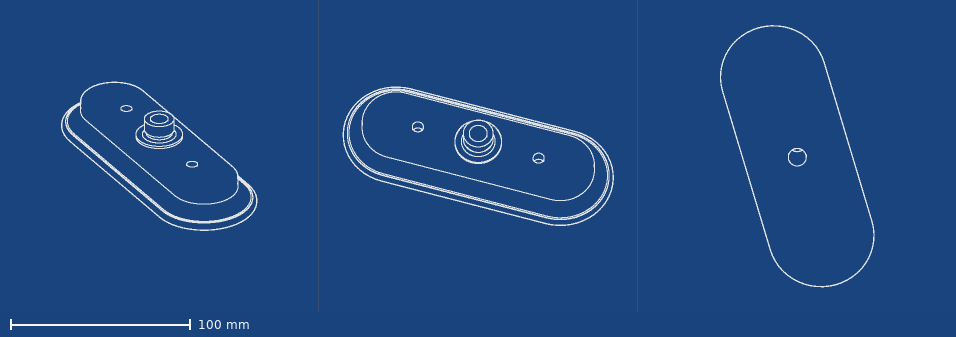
import cadquery as cq

LENGTH = 154.0
WIDTH = 59.0
HEIGHT = 31.0

RIM_THICKNESS = 4.3
SKIRT_BASE_Z = 4.8
STEP_INSET = 2.3
SKIRT_BASE_INSET = 3.2
SKIRT_TOP_Z = 11.5
BODY_TOP_Z = 19.5
BODY_WIDTH = 37.9
BODY_FILLET = 2.0

FLANGE_DIAMETER = 26.0
FLANGE_TOP_Z = 21.0
COLLAR_DIAMETER = 18.8
COLLAR_CROWN_DIAMETER = 17.0
COLLAR_CROWN_Z = 21.5
COLLAR_TOP_Z = 21.7
NECK_DIAMETER = 14.5
NECK_TOP_Z = 24.0
HEAD_DIAMETER = 16.6
BORE_DIAMETER = 10.0

SIDE_HOLE_DIAMETER = 6.2
SIDE_HOLE_DEPTH = 7.7
SIDE_HOLE_SPACING = 69.9

END_CENTRE_X = (LENGTH - WIDTH) / 2
RIM_RADIUS = WIDTH / 2
RIM_ROUND = RIM_THICKNESS / 2
BODY_RADIUS = BODY_WIDTH / 2


def pad_half_section(plane):
    """Section from the pad's centreline out to the rim, with x outward and y up."""
    round_start = RIM_RADIUS - RIM_ROUND
    step_radius = RIM_RADIUS - STEP_INSET
    fillet_start = BODY_RADIUS - BODY_FILLET
    return (
        cq.Workplane(plane)
        .moveTo(0, 0)
        .lineTo(round_start, 0)
        .threePointArc((RIM_RADIUS, RIM_ROUND), (round_start, RIM_THICKNESS))
        .lineTo(step_radius, RIM_THICKNESS)
        .lineTo(step_radius, SKIRT_BASE_Z)
        .lineTo(RIM_RADIUS - SKIRT_BASE_INSET, SKIRT_BASE_Z)
        .lineTo(BODY_RADIUS, SKIRT_TOP_Z)
        .lineTo(BODY_RADIUS, BODY_TOP_Z - BODY_FILLET)
        .radiusArc((fillet_start, BODY_TOP_Z), -BODY_FILLET)
        .lineTo(0, BODY_TOP_Z)
        .close()
    )


def make_pad():
    """Sweep the half section along both straight sides and around both ends."""
    pad = None
    for side in (-1, 1):
        side_plane = cq.Plane(
            origin=(-side * END_CENTRE_X, 0, 0), xDir=(0, side, 0), normal=(side, 0, 0)
        )
        straight = pad_half_section(side_plane).extrude(2 * END_CENTRE_X)
        end_plane = cq.Plane(
            origin=(side * END_CENTRE_X, 0, 0), xDir=(0, -side, 0), normal=(-side, 0, 0)
        )
        end = pad_half_section(end_plane).revolve(180, (0, 0, 0), (0, 1, 0))
        pad = straight.union(end) if pad is None else pad.union(straight).union(end)
    return pad


def make_fitting():
    """Flange, domed collar, neck and head as one turned profile."""
    return (
        cq.Workplane("XZ")
        .moveTo(0, SKIRT_TOP_Z)
        .lineTo(FLANGE_DIAMETER / 2, SKIRT_TOP_Z)
        .lineTo(FLANGE_DIAMETER / 2, FLANGE_TOP_Z)
        .lineTo(COLLAR_DIAMETER / 2, FLANGE_TOP_Z)
        .threePointArc((COLLAR_CROWN_DIAMETER / 2, COLLAR_CROWN_Z), (NECK_DIAMETER / 2, COLLAR_TOP_Z))
        .lineTo(NECK_DIAMETER / 2, NECK_TOP_Z)
        .lineTo(HEAD_DIAMETER / 2, NECK_TOP_Z)
        .lineTo(HEAD_DIAMETER / 2, HEIGHT)
        .lineTo(0, HEIGHT)
        .close()
        .revolve(360, (0, 0, 0), (0, 1, 0))
    )


def make_bore():
    """Passage through the fitting and the pad."""
    return cq.Workplane("XY").circle(BORE_DIAMETER / 2).extrude(HEIGHT)


def make_side_holes():
    """Pair of blind holes sunk from the top of the body."""
    return (
        cq.Workplane("XY", origin=(0, 0, BODY_TOP_Z))
        .rarray(SIDE_HOLE_SPACING, 1.5, 2, 1)
        .circle(SIDE_HOLE_DIAMETER / 2)
        .extrude(-SIDE_HOLE_DEPTH)
    )


result = make_pad().union(make_fitting()).cut(make_bore()).cut(make_side_holes())